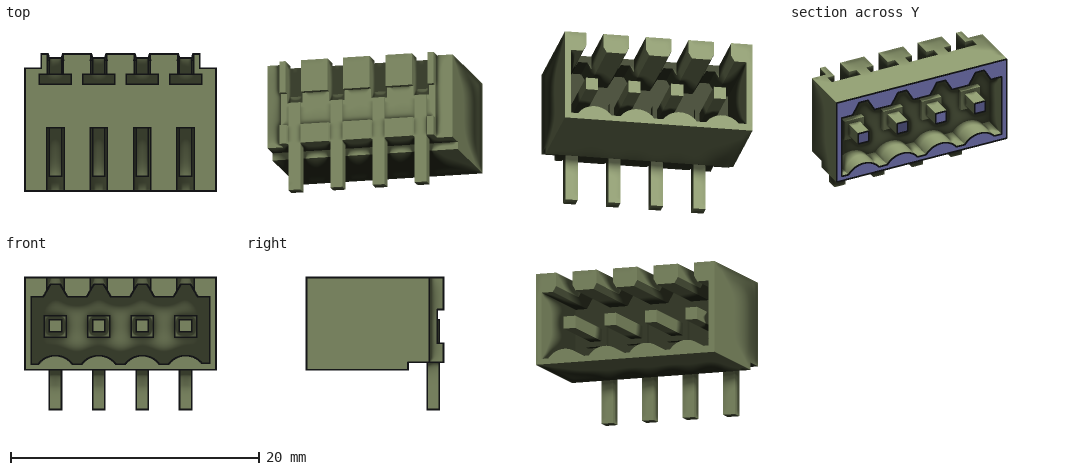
import cadquery as cq
import math


pin_count = 4
pitch = 3.5

housing_width = 15.4
housing_depth = 11.05
housing_top = 6.85
skirt_drop = 0.6
skirt_depth = 8.2
shoulder_width = 1.3
shoulder_depth = 1.15

side_wall = 0.5
cavity_depth = 7.7
floor_thickness = 0.45
ledge_height = 0.1
roof_thickness = 1.57

hump_radius = 1.7
hump_height = 0.7

groove_roof = 0.55
groove_top_width = 0.76
groove_bottom_width = 1.96
key_slot_width = 1.4
key_slot_depth = 5.08

pin_size = 1.0
pin_axis_z = 2.95
pin_tip_setback = 1.2
pin_rear_setback = 0.33
pin_tail_length = 3.8
boss_size = 1.75
boss_axis_z = 2.9
boss_height = 0.5

rear_notch_depth = 0.5
rear_notch_bottom = 1.55
rear_notch_top = 4.25
rear_slot_width = 1.3
rear_pocket_width = 2.6
rear_pocket_start = 1.62
rear_pocket_length = 0.81
lead_in_width = 1.2

pin_xs = [(i - (pin_count - 1) / 2) * pitch for i in range(pin_count)]
housing_bottom = -skirt_drop
cavity_floor = housing_bottom + floor_thickness
cavity_roof = housing_top - roof_thickness
cavity_half_width = housing_width / 2 - side_wall
pin_top = pin_axis_z + pin_size / 2
pin_rear = housing_depth - pin_rear_setback


def block(x_range, y_range, z_range):
    """Axis-aligned box between the given limits."""
    lows, highs = zip(x_range, y_range, z_range)
    sizes = [high - low for low, high in zip(lows, highs)]
    return cq.Workplane("XY").box(*sizes, centered=False).translate(lows)


def centred_block(x, width, y_range, z_range):
    """Box of the given width, centred on x."""
    return block((x - width / 2, x + width / 2), y_range, z_range)


def extrude_back(profile, depth):
    """Extrude an XZ outline from the front face toward +Y."""
    return profile.extrude(-depth)


def housing_shell():
    """Outer block with the rear underside step and the two rear shoulders."""
    body = centred_block(0, housing_width, (0, housing_depth), (0, housing_top))
    body = body.union(centred_block(0, housing_width, (0, skirt_depth), (housing_bottom, 0)))
    rear_y = (housing_depth - shoulder_depth, housing_depth)
    half_width = housing_width / 2
    for side in (-1, 1):
        shoulder_x = side * (half_width - shoulder_width / 2)
        body = body.cut(centred_block(shoulder_x, shoulder_width, rear_y, (0, housing_top)))
    return body


def floor_hump(x):
    """Round rib along the cavity floor, the crown of a cylinder."""
    crown = cavity_floor + hump_height
    centre_z = crown - hump_radius
    half_chord = math.sqrt(hump_radius**2 - (cavity_floor - centre_z) ** 2)
    profile = (
        cq.Workplane("XZ")
        .moveTo(x - half_chord, cavity_floor)
        .threePointArc((x, crown), (x + half_chord, cavity_floor))
        .close()
    )
    return extrude_back(profile, cavity_depth)


def roof_groove(x):
    """Trapezoidal groove in the cavity roof."""
    groove_top = housing_top - groove_roof
    profile = cq.Workplane("XZ").polyline([
        (x - groove_bottom_width / 2, cavity_roof),
        (x - groove_top_width / 2, groove_top),
        (x + groove_top_width / 2, groove_top),
        (x + groove_bottom_width / 2, cavity_roof),
    ]).close()
    return extrude_back(profile, cavity_depth)


def pin_boss(x):
    """Square boss around the pin on the rear wall of the cavity."""
    z_range = (boss_axis_z - boss_size / 2, boss_axis_z + boss_size / 2)
    return centred_block(x, boss_size, (cavity_depth - boss_height, cavity_depth), z_range)


def mating_cavity():
    """Front opening: plain box, roof grooves, floor humps, end ledge and pin bosses."""
    cavity = centred_block(0, 2 * cavity_half_width, (0, cavity_depth), (cavity_floor, cavity_roof))
    ledge_x = (pin_xs[-1], cavity_half_width)
    cavity = cavity.cut(block(ledge_x, (0, cavity_depth), (cavity_floor, cavity_floor + ledge_height)))
    for x in pin_xs:
        cavity = cavity.union(roof_groove(x)).cut(floor_hump(x)).cut(pin_boss(x))
    return cavity


def key_slot(x):
    """Slot through the roof, open at the front."""
    return centred_block(x, key_slot_width, (0, key_slot_depth), (cavity_roof, housing_top))


def rear_slot(x):
    """T-shaped slot from the top: a narrow mouth down to the pin and a wide pocket."""
    pocket_rear = housing_depth - rear_pocket_start
    mouth = centred_block(x, rear_slot_width, (pocket_rear, housing_depth), (pin_top, housing_top))
    pocket_y = (pocket_rear - rear_pocket_length, pocket_rear)
    pocket = centred_block(x, rear_pocket_width, pocket_y, (rear_notch_top, housing_top))
    return mouth.union(pocket)


def rear_lead_in(x):
    """Tapered opening from the rear face down to the pin width, below the rear slot."""
    return cq.Workplane("XY").polyline([
        (x - pin_size / 2, pin_rear),
        (x - lead_in_width / 2, housing_depth),
        (x + lead_in_width / 2, housing_depth),
        (x + pin_size / 2, pin_rear),
    ]).close().extrude(pin_top)


def rear_notch():
    """Groove across the whole rear face."""
    notch_y = (housing_depth - rear_notch_depth, housing_depth)
    return centred_block(0, housing_width, notch_y, (rear_notch_bottom, rear_notch_top))


def build_pin(x):
    """Right-angle square pin: contact arm along Y, solder tail down along Z."""
    tail_z = (-pin_tail_length, pin_top)
    arm = centred_block(x, pin_size, (pin_tip_setback, pin_rear), (pin_top - pin_size, pin_top))
    tail = centred_block(x, pin_size, (pin_rear - pin_size, pin_rear), tail_z)
    return arm.union(tail)


def build_housing(pins):
    """Housing with all its openings and a matching hole for each pin."""
    body = housing_shell().cut(mating_cavity()).cut(rear_notch())
    for x in pin_xs:
        body = body.cut(key_slot(x)).cut(rear_slot(x)).cut(rear_lead_in(x))
    for pin in pins:
        body = body.cut(pin)
    return body


pins = [build_pin(x) for x in pin_xs]
housing = build_housing(pins)

bodies = [housing, *pins]
result = cq.Compound.makeCompound([body.solids().val() for body in bodies])